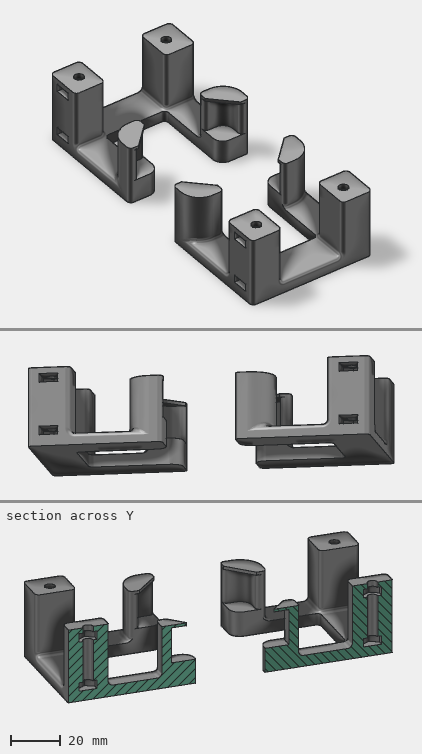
import cadquery as cq
import math

total_length = 139.4
total_width = 59.2
total_height = 32.2
bracket_length = 54.8
arm_width = 14.6
post_length = 17.3
base_height = 5.0
edge_radius = 2.0

column_height = 27.3
back_radius = 9.5
tip_radius = 4.9
seat_height = 10.7
pocket_width = 10.3
pocket_radius = 5.0
lip_thickness = 1.4
lip_cut = pocket_width

screw_diameter = 4.3
screw_inset_x = 8.5
screw_inset_y = 8.1
nut_width = 7.5
nut_height = 3.5
lower_nut_bottom = 4.6
upper_nut_gap = 2.5

outer_x = -total_length / 2
outer_y = -total_width / 2
post_x = outer_x + post_length
inner_y = outer_y + arm_width
tip_x = outer_x + bracket_length
column_x = tip_x - arm_width
screw_x = outer_x + screw_inset_x
screw_y = outer_y + screw_inset_y
nut_trap_bottoms = (lower_nut_bottom, total_height - upper_nut_gap - nut_height)

margin = 0.1


def block(x_from, x_to, y_from, y_to, z_from, z_to):
    """Box between two X, two Y and two Z places."""
    size = (x_to - x_from, y_to - y_from, z_to - z_from)
    return cq.Workplane("XY").box(*size, centered=False).translate((x_from, y_from, z_from))


def edges_inside(body, x_from, x_to, y_from, y_to, z_from, z_to):
    """Edges that lie wholly between the given places."""
    low = (x_from - margin, y_from - margin, z_from - margin)
    high = (x_to + margin, y_to + margin, z_to + margin)
    return body.edges(cq.selectors.BoxSelector(low, high, boundingbox=True))


def round_upright(body, x, y, radius):
    """Round the upright edges at (x, y), and the edges that run on smoothly from them."""
    return edges_inside(body, x, x, y, y, 0, total_height).edges("|Z").fillet(radius)


def make_slab_with_post():
    """Corner post on a slab, with a fillet at its foot and rounded outer edges."""
    slab = block(outer_x, tip_x, outer_y, 0, 0, base_height)
    post = block(outer_x, post_x, outer_y, inner_y, 0, total_height)
    body = slab.union(round_upright(post, post_x, inner_y, edge_radius))
    foot = edges_inside(body, outer_x, post_x, outer_y, inner_y, base_height, base_height)
    body = foot.fillet(edge_radius)
    for x, y in ((post_x, outer_y), (outer_x, inner_y), (outer_x, outer_y)):
        body = round_upright(body, x, y, edge_radius)
    return body


def add_column(body):
    """Solid column at the arm tip, with a fillet at its foot."""
    column = block(column_x, tip_x, outer_y, inner_y, 0, column_height)
    column = round_upright(column, column_x, outer_y, back_radius)
    column = round_upright(column, column_x, inner_y, edge_radius)
    body = body.union(column)
    foot_start = edges_inside(body, column_x, column_x, outer_y, inner_y, base_height, base_height)
    return foot_start.fillet(edge_radius)


def make_opening():
    """Space between the arms, beside the crossbar."""
    opening = block(post_x, tip_x, inner_y, 0, 0, total_height)
    return round_upright(opening, post_x, inner_y, edge_radius)


def make_pocket():
    """Square recess in the free corner of the column, under its cap."""
    round_end = pocket_width + edge_radius
    straight_end = pocket_width - pocket_radius
    return (
        cq.Workplane("XY")
        .lineTo(0, -round_end)
        .radiusArc((-edge_radius, -pocket_width), -edge_radius)
        .lineTo(-straight_end, -pocket_width)
        .radiusArc((-pocket_width, -straight_end), pocket_radius)
        .lineTo(-pocket_width, -edge_radius)
        .radiusArc((-round_end, 0), -edge_radius)
        .close()
        .extrude(column_height - lip_thickness - seat_height)
        .translate((tip_x, inner_y, seat_height))
    )


def make_cap_cut():
    """45 degree cut across the free corner of the column, through its cap."""
    return (
        cq.Workplane("XY")
        .polyline([(0, 0), (0, -lip_cut), (-lip_cut, 0)])
        .close()
        .extrude(column_height - seat_height)
        .translate((tip_x, inner_y, seat_height))
    )


def make_screw_hole():
    """Upright hole from the post top down to the floor of the lower nut trap."""
    return (
        cq.Workplane("XY")
        .workplane(offset=lower_nut_bottom)
        .center(screw_x, screw_y)
        .circle(screw_diameter / 2)
        .extrude(total_height - lower_nut_bottom)
    )


def make_nut_trap(bottom):
    """Slot from the outer side of the post that ends as half a hexagon around the screw."""
    half_width = nut_width / 2
    shoulder_y = screw_y + half_width * math.tan(math.radians(30))
    apex_y = screw_y + half_width / math.cos(math.radians(30))
    outline = [
        (screw_x - half_width, outer_y),
        (screw_x - half_width, shoulder_y),
        (screw_x, apex_y),
        (screw_x + half_width, shoulder_y),
        (screw_x + half_width, outer_y),
    ]
    return cq.Workplane("XY").workplane(offset=bottom).polyline(outline).close().extrude(nut_height)


def make_quarter():
    """Front half of the left bracket."""
    quarter = add_column(make_slab_with_post())
    quarter = quarter.cut(make_opening())
    quarter = round_upright(quarter, tip_x, outer_y, edge_radius)
    quarter = round_upright(quarter, tip_x, inner_y, tip_radius)
    quarter = quarter.cut(make_pocket())
    quarter = quarter.cut(make_cap_cut())
    quarter = quarter.cut(make_screw_hole())
    for bottom in nut_trap_bottoms:
        quarter = quarter.cut(make_nut_trap(bottom))
    return quarter


def make_bracket():
    """Left bracket: two mirrored quarters joined in the middle of the crossbar."""
    quarter = make_quarter()
    return quarter.union(quarter.mirror("XZ")).clean()


left_bracket = make_bracket()
right_bracket = left_bracket.mirror("YZ")

result = cq.Compound.makeCompound([left_bracket.val(), right_bracket.val()])